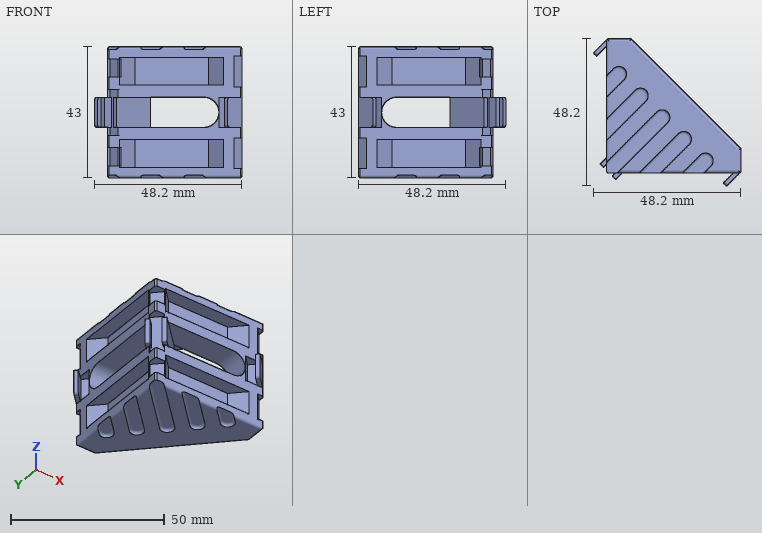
import cadquery as cq
import math

ROOT2 = math.sqrt(2)

leg = 44.0
end_width = 8.0
height = 43.0
half_height = height / 2
rim_radius = 1.0
corner_cut = 0.5
corner_u = corner_cut / ROOT2
corner_v = (leg - corner_cut) / ROOT2
slant_u = (leg + end_width) / ROOT2

window_half = 4.9
window_end = 36.4

wall = 9.0
hollow_half = 18.0

rib = 4.0
pocket_low = window_half + rib
pocket_high = hollow_half
pocket_start = 4.0
pocket_end = 38.0
pocket_depth = 5.0

notch_half_width = 2.5
notch_u = 3.8
notch_bands = ((11.5, 17.5), (-7.5, 7.5), (-17.5, -11.5))

clip_thickness = 1.5
clip_inner_v = corner_v - clip_thickness
clip_length = 6.0
clip_tip_radius = 1.0
clip_seat_u = corner_v
recess_v = 25.8
arm_half_width = 3.6
prong_gap = 4.0
prong_tip_u = 0.7
prong_tip_radius = 0.3

step_low = 8.35
step_high = 18.35

groove_width = 5.0
groove_depth = 1.0
groove_pitch = 10.0
groove_count = 5
groove_setback = 11.0
groove_end_u = slant_u - groove_setback

far = 2 * leg
SIDES = (-1, 1)


def mirrored(shape):
    """The shape together with its mirror image in the plane X = Y."""
    twin = shape.mirror("YZ").rotate((0, 0, 0), (0, 0, 1), -90)
    return shape.union(twin)


def diagonal_box(u_min, u_max, v_min, v_max, z_min, z_max):
    """Box whose sides follow the diagonal coordinates."""
    box = cq.Workplane().box(u_max - u_min, v_max - v_min, z_max - z_min, centered=False)
    return box.translate((u_min, v_min, z_min)).rotate((0, 0, 0), (0, 0, 1), 45)


def side_box(side, u_min, u_max, v_near, v_far, z_min, z_max):
    """Diagonal box on one side of the symmetry plane."""
    v_min, v_max = sorted((side * v_near, side * v_far))
    return diagonal_box(u_min, u_max, v_min, v_max, z_min, z_max)


def make_body():
    outline = [(0, 0), (leg, 0), (leg, end_width), (end_width, leg), (0, leg)]
    body = cq.Workplane().polyline(outline).close().extrude(height)
    body = body.translate((0, 0, -half_height))
    body = body.faces("<Z or >Z").edges().fillet(rim_radius)
    body = body.cut(diagonal_box(-far, corner_u, -far, far, -far, far))
    for side in SIDES:
        body = body.cut(side_box(side, -far, far, corner_v, far, -far, far))
    return body


def hollow_cutter():
    longest = leg + end_width - wall
    return (
        cq.Workplane()
        .polyline([(wall, wall), (longest, wall), (wall, longest)])
        .close()
        .extrude(hollow_half, both=True)
    )


def window_cutter():
    """Windows through both walls: round at the far end, the diagonal arm at the near end."""
    round_centre = window_end - window_half
    window = (
        cq.Workplane("XZ")
        .moveTo(0, -window_half)
        .lineTo(round_centre, -window_half)
        .threePointArc((window_end, 0), (round_centre, window_half))
        .lineTo(0, window_half)
        .close()
        .extrude(-wall)
    )
    arm = diagonal_box(-far, far, -arm_half_width, arm_half_width, -far, far)
    return mirrored(window).cut(arm)


def pocket_cutter():
    plan = [
        (pocket_start, 0),
        (pocket_end, 0),
        (pocket_end - pocket_depth, pocket_depth),
        (pocket_start + pocket_depth, pocket_depth),
    ]
    upper = cq.Workplane().polyline(plan).close().extrude(pocket_high - pocket_low)
    upper = upper.translate((0, 0, pocket_low))
    return mirrored(upper.union(upper.mirror("XY")))


def cut_corner_notches(body):
    for z_min, z_max in notch_bands:
        body = body.cut(
            diagonal_box(-far, notch_u, -notch_half_width, notch_half_width, z_min, z_max)
        )
    return body


def cut_outer_corners(body):
    for side in SIDES:
        body = body.cut(side_box(side, -far, far, clip_inner_v, far, step_low, step_high))
        body = body.cut(side_box(side, -far, far, clip_inner_v, far, -step_high, -step_low))
        body = body.cut(
            side_box(side, -far, clip_seat_u, recess_v, far, -window_half, window_half)
        )
    return body


def make_clip(side, tip_u, root_u, v_near, v_far, tip_radius):
    """Clip as tall as the window, with the top and bottom of its tip rounded."""
    v_min, v_max = sorted((side * v_near, side * v_far))
    clip = (
        cq.Workplane()
        .box(root_u - tip_u, v_max - v_min, 2 * window_half)
        .faces("<X")
        .edges("|Y")
        .fillet(tip_radius)
    )
    clip = clip.translate(((tip_u + root_u) / 2, (v_min + v_max) / 2, 0))
    return clip.rotate((0, 0, 0), (0, 0, 1), 45)


def add_clips(body):
    clip_tip_u = corner_v - clip_length
    prong_inner_v = prong_gap / 2
    for side in SIDES:
        clip = make_clip(side, clip_tip_u, clip_seat_u, clip_inner_v, corner_v, clip_tip_radius)
        prong = make_clip(
            side, prong_tip_u, notch_u, prong_inner_v, arm_half_width, prong_tip_radius
        )
        body = body.union(clip).union(prong)
    return body


def cut_grooves(body):
    """Round-ended grooves along u, with coved sides, in the top and bottom faces."""
    groove = (
        cq.Workplane()
        .slot2D(far + groove_width, groove_width)
        .extrude(2 * groove_depth)
        .faces("<Z")
        .edges()
        .fillet(groove_depth)
        .translate((groove_end_u - far / 2, 0, half_height - groove_depth))
    )
    for index in range(groove_count):
        offset = (index - (groove_count - 1) / 2) * groove_pitch
        placed = groove.translate((0, offset, 0)).rotate((0, 0, 0), (0, 0, 1), 45)
        body = body.cut(placed).cut(placed.mirror("XY"))
    return body


bracket = make_body()
bracket = bracket.cut(hollow_cutter())
bracket = bracket.cut(window_cutter())
bracket = bracket.cut(pocket_cutter())
bracket = cut_corner_notches(bracket)
bracket = cut_outer_corners(bracket)
bracket = add_clips(bracket)
result = cut_grooves(bracket)